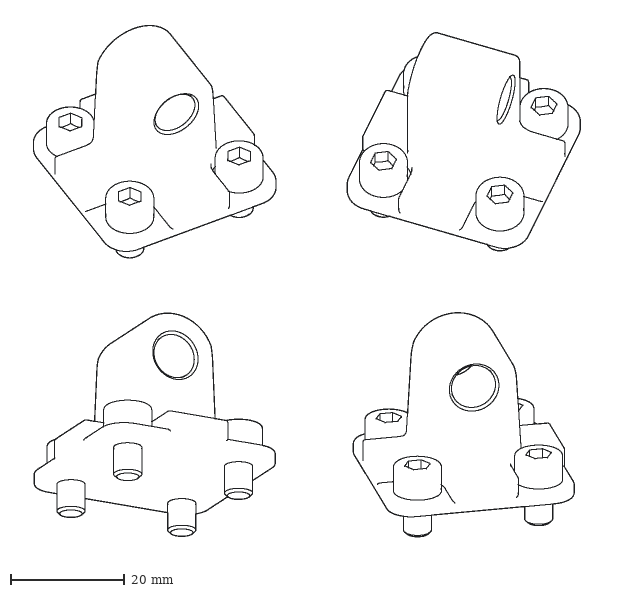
import cadquery as cq
import math

plate_size = 34.0
plate_corner_radius = 4.5
pad_height = 2.5
cross_height = 6.0
cross_width = 12.0
edge_radius = 0.5

lug_width = 16.0
lug_radius = 8.0
bore_height = 20.0
bore_diameter = 8.0
bore_chamfer = 0.5
draft_angle = math.radians(4)
lug_edge_radius = 0.75
lug_root_radius = 0.75
total_height = bore_height + lug_radius

screw_offset = 11.0
screw_positions = [(x, y) for x in (-screw_offset, screw_offset) for y in (-screw_offset, screw_offset)]
relief_radius = screw_offset - cross_width / 2
head_diameter = 8.5
head_height = 5.0
head_edge_radius = 0.5
shank_diameter = 5.0
shank_protrusion = 5.5
tip_chamfer = 0.5
hex_across_flats = 4.0
hex_depth = 2.5
hex_cone_height = 1.0

tolerance = 0.01


def make_plate():
    """Square plate with round corners and rounded rims."""
    plate = cq.Workplane("XY").rect(plate_size, plate_size).extrude(pad_height)
    plate = plate.edges("|Z").fillet(plate_corner_radius)
    return plate.faces("<Z or >Z").edges().fillet(edge_radius)


def make_corner_relief():
    """Clearance over one pad, reaching inward around the screw and tangent to the cross."""
    half_width = cross_width / 2
    arc_middle = screw_offset - relief_radius * math.sqrt(0.5)
    return (
        cq.Workplane("XY", origin=(0, 0, pad_height - edge_radius))
        .moveTo(half_width, plate_size)
        .lineTo(half_width, screw_offset)
        .threePointArc((arc_middle, arc_middle), (screw_offset, half_width))
        .lineTo(plate_size, half_width)
        .lineTo(plate_size, plate_size)
        .close()
        .extrude(total_height)
    )


def make_upper_body():
    """Cross and lug in one piece, sunk into the plate by the depth of its rim rounding."""
    bottom = pad_height - edge_radius
    slab = cq.Workplane("XY", origin=(0, 0, bottom)).rect(plate_size, plate_size).extrude(cross_height - bottom)
    tangent_y = lug_radius * math.cos(draft_angle)
    tangent_z = bore_height + lug_radius * math.sin(draft_angle)
    foot_y = tangent_y + (tangent_z - cross_height) * math.tan(draft_angle)
    lug = (
        cq.Workplane("YZ", origin=(-lug_width / 2, 0, 0))
        .moveTo(-foot_y, cross_height)
        .lineTo(-tangent_y, tangent_z)
        .threePointArc((0, total_height), (tangent_y, tangent_z))
        .lineTo(foot_y, cross_height)
        .close()
        .extrude(lug_width)
    )
    root_half = foot_y + edge_radius
    root_box = cq.selectors.BoxSelector(
        (-root_half, -root_half, cross_height - edge_radius),
        (root_half, root_half, cross_height + edge_radius),
    )
    body = slab.union(lug).edges(root_box).fillet(lug_root_radius)
    for quarter in range(4):
        body = body.cut(make_corner_relief().rotate((0, 0, 0), (0, 0, 1), 90 * quarter))
    return body


def is_level(edge):
    box = edge.BoundingBox()
    return box.zmax - box.zmin < tolerance


def reach(edge):
    """Larger of the X and Y distances from the part's centre to the middle of an edge."""
    middle = edge.Center()
    return max(abs(middle.x), abs(middle.y))


def is_cross_rim(edge):
    """Top rim of the cross, leaving out the lines where the lug's root rounding runs out."""
    on_top = is_level(edge) and abs(edge.Center().z - cross_height) < tolerance
    middle = edge.Center()
    root_line = min(abs(middle.x), abs(middle.y)) < tolerance and reach(edge) < screw_offset
    return on_top and not root_line


def is_cross_tip_upright(edge):
    return not is_level(edge) and reach(edge) > plate_size / 2 - tolerance


def is_scallop_edge(edge):
    """Edges where the screw clearances cut the lug and its root rounding."""
    middle = edge.Center()
    nearest_screw_axis = math.hypot(screw_offset - abs(middle.x), screw_offset - abs(middle.y))
    above_cross = middle.z > cross_height + tolerance and not is_level(edge)
    return above_cross and nearest_screw_axis < relief_radius + edge_radius


def round_upper_edges(body):
    """Round the lug's top arcs first, then the scallops and the cross in one chain."""
    top_arcs = [edge for edge in body.edges("%CIRCLE").vals() if edge.Center().z > bore_height]
    body = body.newObject(top_arcs).fillet(lug_edge_radius)
    chain = [
        edge
        for edge in body.edges().vals()
        if is_cross_rim(edge) or is_cross_tip_upright(edge) or is_scallop_edge(edge)
    ]
    return body.newObject(chain).fillet(edge_radius)


def cut_bore(body):
    """Cross bore through the lug, chamfered at both mouths."""
    half_width = lug_width / 2
    radius = bore_diameter / 2
    profile = (
        cq.Workplane("XY", origin=(0, 0, bore_height))
        .moveTo(-half_width, 0)
        .lineTo(-half_width, radius + bore_chamfer)
        .lineTo(-half_width + bore_chamfer, radius)
        .lineTo(half_width - bore_chamfer, radius)
        .lineTo(half_width, radius + bore_chamfer)
        .lineTo(half_width, 0)
        .close()
    )
    return body.cut(profile.revolve(360, (0, 0, 0), (1, 0, 0)))


def make_screw():
    """Socket head cap screw seated on a pad, centred on the Z axis."""
    head_top = pad_height + head_height
    head = cq.Workplane("XY", origin=(0, 0, pad_height)).circle(head_diameter / 2).extrude(head_height)
    head = head.faces(">Z").edges().fillet(head_edge_radius)
    shank = (
        cq.Workplane("XY", origin=(0, 0, -shank_protrusion))
        .circle(shank_diameter / 2)
        .extrude(shank_protrusion + pad_height)
        .faces("<Z")
        .edges()
        .chamfer(tip_chamfer)
    )
    return head.union(shank).cut(make_socket(head_top))


def make_socket(head_top):
    """Hexagonal socket with a conical bottom that reaches out to the corners of the hexagon."""
    corner_radius = hex_across_flats / 2 / math.cos(math.radians(30))
    full_depth = hex_depth + hex_cone_height
    hexagon = cq.Workplane("XY", origin=(0, 0, head_top)).polygon(6, 2 * corner_radius).extrude(-full_depth)
    hexagon = hexagon.rotate((0, 0, 0), (0, 0, 1), 90)
    drill_point = (
        cq.Workplane("XZ")
        .moveTo(0, head_top)
        .lineTo(corner_radius, head_top)
        .lineTo(corner_radius, head_top - hex_depth)
        .lineTo(0, head_top - full_depth)
        .close()
        .revolve(360, (0, 0, 0), (0, 1, 0))
    )
    return hexagon.intersect(drill_point)


bracket = make_plate().union(round_upper_edges(make_upper_body()))
bracket = cut_bore(bracket)
for x, y in screw_positions:
    bracket = bracket.union(make_screw().translate((x, y, 0)))
result = bracket